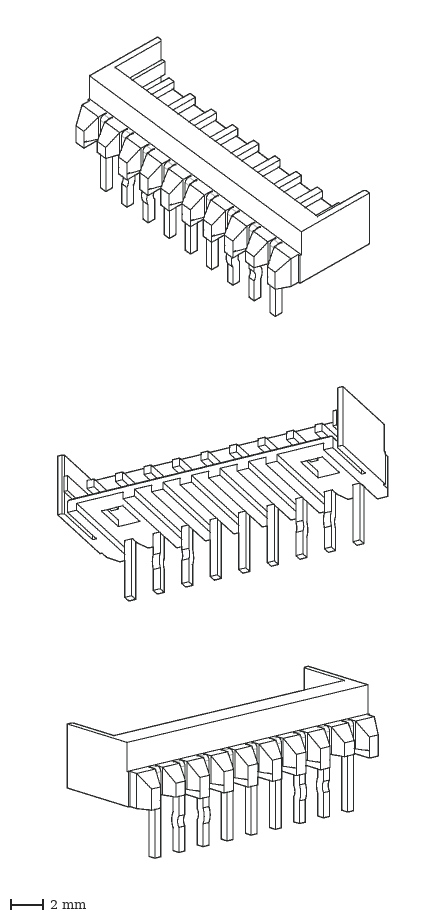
import cadquery as cq


pitch = 2.0
pin_count = 9
pin_width = 0.5
pin_thickness = 0.55
pin_tail_end = -3.55
pin_mating_end = -0.6
pin_front = -6.28
pin_bend_radius = 0.3

kink_z = -1.55
kink_rise = 0.12
kink_inner_radius = 0.62
kinks = {1: 1, 2: -1, 6: -1, 7: 1}

length = 20.0
height = 4.15
underside = 0.48
ledge_z = 2.28
bar_back = -3.92
bar_front = -5.65
lower_front = -5.78
wall = 0.45
wall_chamfer = 0.12

rail_width = 0.25
rail_bottom = 1.55
rail_height = 1.05

floor_thickness = 0.45
floor_chamfer_width = 0.18
floor_chamfer_back = 0.12
window_back = -1.6

slot_width = 0.6
tooth_count = pin_count + 1
tooth_taper_start = -6.4
tooth_tip = -7.3
tooth_tip_width = 0.8
end_tip_trim = 0.05
tooth_end_margin = 0.15
window_teeth = (1, tooth_count - 2)

half_length = length / 2
floor_half = half_length - wall - rail_width
last_tooth = tooth_count - 1


def box(x0, x1, y0, y1, z0, z1):
    """Box between two opposite corners."""
    return cq.Workplane("XY").box(x1 - x0, y1 - y0, z1 - z0, centered=False).translate((x0, y0, z0))


def pin_x(index):
    return (index - (pin_count - 1) / 2) * pitch


def tooth_x(index):
    return (index - (tooth_count - 1) / 2) * pitch


def make_shell():
    """Bar, ledge block, end walls and rails."""
    bar = box(-half_length, half_length, bar_front, bar_back, underside, height)
    ledge = box(-half_length, half_length, lower_front, bar_back, underside, ledge_z)
    shell = bar.union(ledge)
    for side in (-1, 1):
        outer = side * half_length
        inner = side * (half_length - wall)
        rail_face = side * floor_half
        wall_x = sorted((outer, inner))
        rail_x = sorted((inner, rail_face))
        end_wall = box(*wall_x, bar_front, 0, 0, height)
        inner_edge = "<X" if side > 0 else ">X"
        end_wall = end_wall.faces(">Y").edges(inner_edge).chamfer(wall_chamfer)
        shell = shell.union(end_wall)
        shell = shell.union(box(*wall_x, lower_front, bar_front, 0, ledge_z))
        shell = shell.union(box(*rail_x, bar_back, 0, rail_bottom, rail_bottom + rail_height))
    return shell


def make_floor():
    """Floor plate with bevelled back and side edges and two windows."""
    top = underside + floor_thickness
    plate = box(-floor_half, floor_half, bar_back, 0, underside, top)
    plate = plate.faces(">Y").edges(">Z").chamfer(floor_chamfer_back)
    for face in ("<X", ">X"):
        plate = plate.faces(face).edges(">Z").chamfer(floor_chamfer_width)
    window_half = (pitch - pin_width) / 2
    for index in window_teeth:
        x = tooth_x(index)
        plate = plate.cut(box(x - window_half, x + window_half, bar_back, window_back, underside, top))
    return plate


def tip_span(index):
    """Left and right X of a tooth tip."""
    left = tooth_x(index) - tooth_tip_width / 2
    right = tooth_x(index) + tooth_tip_width / 2
    if index == 0:
        right -= end_tip_trim
    if index == last_tooth:
        left += end_tip_trim
    return left, right


def base_span(index):
    """Left and right X of a tooth at the housing."""
    base_half = (pitch - slot_width) / 2
    left = tooth_x(index) - base_half
    right = tooth_x(index) + base_half
    if index == 0:
        left = -half_length + tooth_end_margin
    if index == last_tooth:
        right = half_length - tooth_end_margin
    return left, right


def foot_span(index):
    """Left and right X of a foot; the end feet reach the outer faces of the housing."""
    left, right = tip_span(index)
    if index == 0:
        left = -half_length
    if index == last_tooth:
        right = half_length
    return left, right


def make_tooth(index):
    """Tooth with tapered flanks and a 45 degree top bevel, narrowed to its foot below the underside."""
    base_left, base_right = base_span(index)
    tip_left, tip_right = tip_span(index)
    plan = [
        (base_left, lower_front),
        (base_left, tooth_taper_start),
        (tip_left, tooth_tip),
        (tip_right, tooth_tip),
        (base_right, tooth_taper_start),
        (base_right, lower_front),
    ]
    bevel = tooth_taper_start - tooth_tip
    profile = [
        (lower_front, 0),
        (lower_front, ledge_z),
        (tooth_taper_start, ledge_z),
        (tooth_tip, ledge_z - bevel),
        (tooth_tip, 0),
    ]
    prism = cq.Workplane("XY").polyline(plan).close().extrude(ledge_z)
    beveled = cq.Workplane("YZ").polyline(profile).close().extrude(half_length, both=True)
    envelope = box(base_left, base_right, tooth_tip, lower_front, underside, ledge_z)
    if index not in window_teeth:
        envelope = envelope.union(box(*foot_span(index), tooth_tip, lower_front, 0, underside))
    return prism.intersect(beveled).intersect(envelope)


def make_foot(index):
    """Rib under the bar and the floor plate, in line with a tooth."""
    left, right = foot_span(index)
    under_bar = box(left, right, lower_front, bar_back, 0, underside)
    under_floor = box(max(left, -floor_half), min(right, floor_half), bar_back, 0, 0, underside)
    return under_bar.union(under_floor)


def kink_cylinder(index, axis_y, radius):
    """Cylinder across the width of a pin at kink height."""
    start = cq.Workplane("YZ", origin=(pin_x(index) - pin_width / 2, axis_y, kink_z))
    return start.circle(radius).extrude(pin_width)


def add_kink(pin, index, direction):
    """Bow the tail toward one Y direction with two concentric arcs."""
    middle = pin_front + pin_thickness / 2
    crest = middle + direction * (pin_thickness / 2 + kink_rise)
    outer_radius = kink_inner_radius + pin_thickness
    axis_y = crest - direction * outer_radius
    left = pin_x(index) - pin_width / 2
    outer_side = box(left, left + pin_width, *sorted((middle, crest)),
                     kink_z - outer_radius, kink_z + outer_radius)
    bulge = kink_cylinder(index, axis_y, outer_radius).intersect(outer_side)
    return pin.union(bulge).cut(kink_cylinder(index, axis_y, kink_inner_radius))


def make_pin(index):
    """L-shaped pin, with a curved kink in the tail where it has one."""
    left = pin_x(index) - pin_width / 2
    right = left + pin_width
    blade = box(left, right, pin_front, pin_mating_end, ledge_z - pin_thickness, ledge_z)
    tail = box(left, right, pin_front, pin_front + pin_thickness, pin_tail_end, ledge_z)
    pin = blade.union(tail).faces("<Y").edges(">Z").fillet(pin_bend_radius)
    if index in kinks:
        pin = add_kink(pin, index, kinks[index])
    return pin


result = make_shell().union(make_floor())
for i in range(tooth_count):
    result = result.union(make_tooth(i))
    if i not in window_teeth:
        result = result.union(make_foot(i))
for i in range(pin_count):
    result = result.union(make_pin(i))